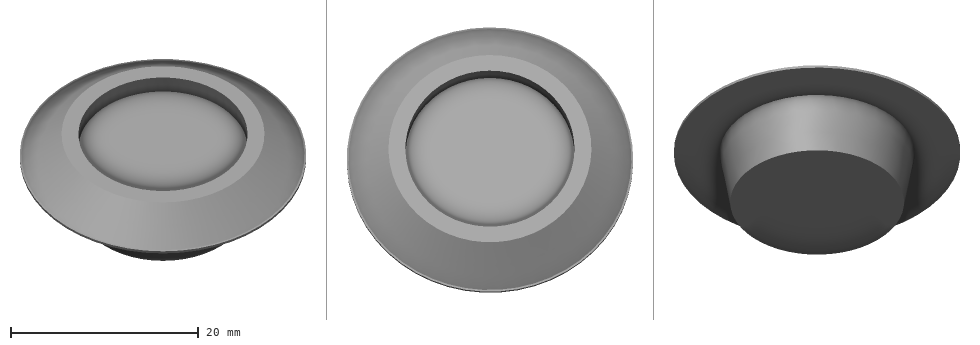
import cadquery as cq
import math

total_height = 9.8
plug_height = 6.5
rim_thickness = 0.3

rim_radius = 30.5 / 2
rim_ledge = 0.2
bevel_base_radius = rim_radius - rim_ledge
top_radius = 21.6 / 2

plug_bottom_radius = 18.5 / 2
plug_draft_angle = 10.0
plug_top_radius = plug_bottom_radius + plug_height * math.tan(math.radians(plug_draft_angle))

recess_radius = 18.0 / 2
recess_depth = 2.0


def make_body():
    """Revolve the plug, rim and bevel about Z as one profile."""
    rim_top = plug_height + rim_thickness
    return (
        cq.Workplane("XZ")
        .moveTo(0, 0)
        .lineTo(plug_bottom_radius, 0)
        .lineTo(plug_top_radius, plug_height)
        .lineTo(rim_radius, plug_height)
        .lineTo(rim_radius, rim_top)
        .lineTo(bevel_base_radius, rim_top)
        .lineTo(top_radius, total_height)
        .lineTo(0, total_height)
        .close()
        .revolve(360, (0, 0), (0, 1))
    )


def make_recess():
    """Cylinder that is removed from the top face."""
    floor_height = total_height - recess_depth
    return cq.Workplane("XY").workplane(offset=floor_height).circle(recess_radius).extrude(recess_depth)


result = make_body().cut(make_recess())